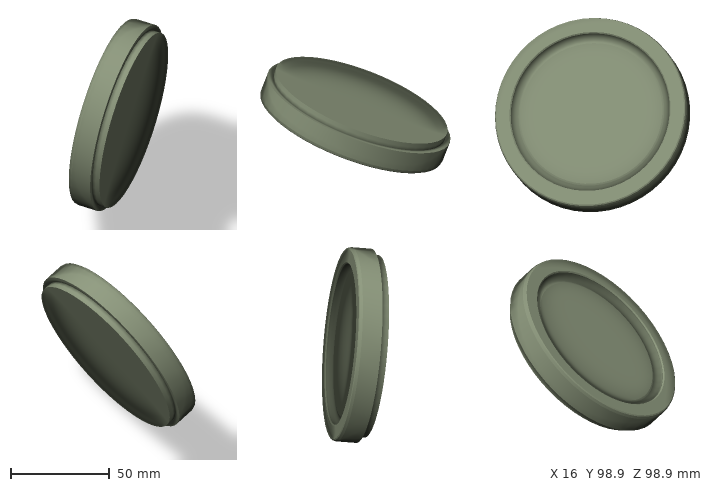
import cadquery as cq

rim_radius = 98.9 / 2
step_radius = 93 / 2
total_width = 16.0
step_width = 4.0
front_face_radius = 48.5
rim_taper_end_x = 1.9
rim_taper_start_x = 0.4
rim_taper_start_radius = 49.1

recess_radius = 41.6
recess_depth = 3.6
floor_radius = 36.7
groove_wall_x = 0.6
groove_wall_radius = 41.0
groove_depth = 4.2
floor_lip_radius = 37.6
floor_lip_drop = 0.3

shoulder_x = total_width - step_width

groove_mid_radius = (groove_wall_radius + floor_lip_radius) / 2

half_section = (
    cq.Workplane("XY")
    .moveTo(recess_depth, 0)
    .lineTo(recess_depth, floor_radius)
    .lineTo(recess_depth + floor_lip_drop, floor_lip_radius)
    .threePointArc((groove_depth, groove_mid_radius), (groove_wall_x, groove_wall_radius))
    .lineTo(0, recess_radius)
    .lineTo(0, front_face_radius)
    .lineTo(rim_taper_start_x, rim_taper_start_radius)
    .lineTo(rim_taper_end_x, rim_radius)
    .lineTo(shoulder_x, rim_radius)
    .lineTo(shoulder_x, step_radius)
    .lineTo(total_width, step_radius)
    .lineTo(total_width, 0)
    .close()
)

result = half_section.revolve(360, (0, 0, 0), (1, 0, 0))